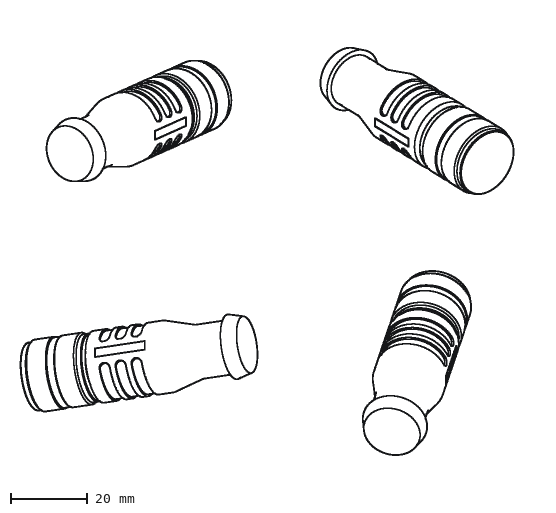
import cadquery as cq

length = 60.0
body_radius = 9.51

nut_length = 17.15
nut_front = length - nut_length
nut_collar_radius = 9.0
nut_collar_length = 1.5
nut_end_chamfer = 0.25
nut_shoulder_chamfer = body_radius - nut_collar_radius
nut_groove_radius = 9.3
nut_groove_width = 2.5
nut_groove_taper = 0.27

neck_radius = 6.3
grip_back = 41.5
grip_front = 21.95
tail_radius = 7.15
tail_back = 13.45
barb_back_radius = 8.6
barb_front_radius = 7.5
barb_length = 4.1

groove_count = 3
groove_width = 2.9
groove_pitch = 4.47
groove_center = 32.1
groove_floor_radius = 9.0
groove_tip_height = 3.0

recess_length = 13.9
recess_center = 31.9
recess_width = 2.4
recess_depth = 0.2

cut_clearance = 0.6


def revolve_about_y(points):
    """Close an outline of (radius, y) points and turn it about the Y axis."""
    return cq.Workplane("XY").polyline(points).close().revolve(360, (0, 0, 0), (0, 1, 0))


def ring(outer_radius, inner_radius, y_min, y_max):
    """Tube along Y between two positions."""
    return revolve_about_y(
        [(inner_radius, y_min), (outer_radius, y_min), (outer_radius, y_max), (inner_radius, y_max)]
    )


def make_coupling_nut():
    """Nut with a chamfered collar at each end and a shallow groove round its middle."""
    half_length = nut_length / 2
    middle = nut_front + half_length
    half_groove = nut_groove_width / 2
    half_outline = [
        (nut_groove_radius, half_groove - nut_groove_taper),
        (body_radius, half_groove),
        (body_radius, half_length - nut_collar_length - nut_shoulder_chamfer),
        (nut_collar_radius, half_length - nut_collar_length),
        (nut_collar_radius, half_length - nut_end_chamfer),
        (nut_collar_radius - nut_end_chamfer, half_length),
        (0, half_length),
    ]
    back = [(radius, middle + offset) for radius, offset in half_outline]
    front = [(radius, middle - offset) for radius, offset in reversed(half_outline)]
    return revolve_about_y(front + back)


def make_finger_grooves():
    """Round-ended grooves over the top and bottom, cut down to a cylindrical floor."""
    groove_height = 2 * body_radius
    slots = cq.Workplane("XY")
    for index in range(groove_count):
        y = groove_center + (index - (groove_count - 1) / 2) * groove_pitch
        for side in (1, -1):
            slot = (
                cq.Workplane("YZ")
                .center(y, side * (groove_tip_height + groove_height / 2))
                .slot2D(groove_height, groove_width, 90)
                .extrude(body_radius + cut_clearance, both=True)
            )
            slots = slots.add(slot)
    shell = ring(body_radius + cut_clearance, groove_floor_radius, grip_front, grip_back)
    return shell.intersect(slots.combine())


def make_marking_recesses():
    """Shallow rectangular recesses on the -X and +X sides, with a cylindrical floor."""
    shell = ring(body_radius + cut_clearance, body_radius - recess_depth, grip_front, grip_back)
    block = cq.Workplane("XY").box(2 * (body_radius + cut_clearance), recess_length, recess_width)
    return shell.intersect(block.translate((0, recess_center, 0)))


def make_grip_body():
    """Solid grip with a barbed tail, a tapered shoulder and a neck that meets the nut."""
    grip = revolve_about_y(
        [
            (0, 0),
            (barb_front_radius, 0),
            (barb_back_radius, barb_length),
            (tail_radius, barb_length),
            (tail_radius, tail_back),
            (body_radius, grip_front),
            (body_radius, grip_back),
            (neck_radius, grip_back),
            (neck_radius, nut_front),
            (0, nut_front),
        ]
    )
    return grip.cut(make_finger_grooves()).cut(make_marking_recesses())


coupling_nut = make_coupling_nut()
grip_body = make_grip_body()

result = cq.Compound.makeCompound([coupling_nut.val(), grip_body.val()])